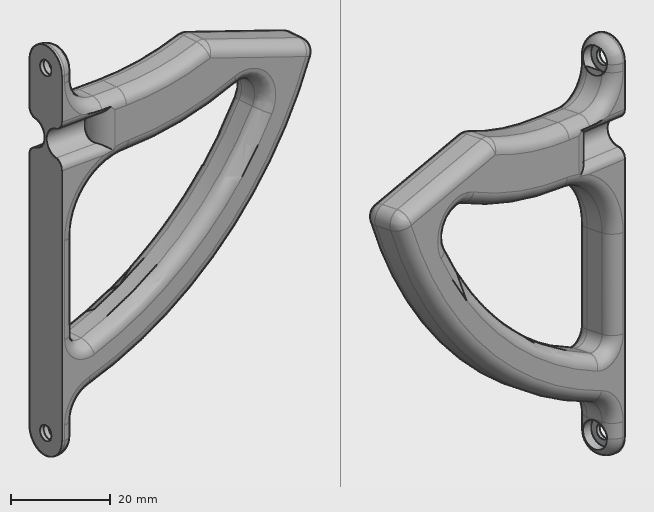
import cadquery as cq
import math

width = 10.0
height = 91.0
plate_thickness = 3.6
edge_radius = 3.0
half_width = width / 2

hole_diameter = 3.5
hole_depth = 1.0
head_diameter = 6.4

arm_center_y = 17.0
arm_center_z = 145.7
arm_top_radius = 68.4
arm_depth = 13.9
peak_y = 39.2

strut_center_y = -17.5
strut_center_z = 101.5
strut_outer_radius = 90.9
strut_depth = 10.0
tip_y = 68.6

corner_allowance = 0.01
outer_corner_radius = edge_radius + corner_allowance
upper_plate_radius = 7.0
lower_plate_radius = 6.0
window_upper_radius = 14.0
window_tip_radius = 5.0
window_lower_radius = 3.0

groove_z = 70.4
groove_web = 0.7
groove_floor_radius = 3.3
groove_mouth_radius = 2.2
groove_end_y = 10.0
groove_end_radius = 4.0

selection_margin = 0.1


def arm_z(y, radius):
    """Height of the arm arc of the given radius at y."""
    return arm_center_z - math.sqrt(radius**2 - (y - arm_center_y) ** 2)


def strut_z(y, radius):
    """Height of the strut arc of the given radius at y."""
    return strut_center_z - math.sqrt(radius**2 - (y - strut_center_y) ** 2)


def arc_points(curve, start_y, end_y, radius):
    """Middle and end point of an arc given as a height function of y."""
    middle_y = (start_y + end_y) / 2
    return (middle_y, curve(middle_y, radius)), (end_y, curve(end_y, radius))


def crossing_y(arm_radius, strut_radius):
    """The y where an arm arc meets a strut arc, on the handle side."""
    dy = strut_center_y - arm_center_y
    dz = strut_center_z - arm_center_z
    distance = math.hypot(dy, dz)
    along = (arm_radius**2 - strut_radius**2 + distance**2) / (2 * distance)
    across = math.sqrt(arm_radius**2 - along**2)
    return arm_center_y + (along * dy - across * dz) / distance


def round_corner(body, y, z, radius):
    """Round the edge along X that passes through (y, z)."""
    return body.edges(cq.selectors.NearestToPointSelector((0, y, z))).fillet(radius)


def extrude_profile(profile):
    """Close a side profile and extrude it over the full width."""
    return profile.close().extrude(half_width, both=True)


def make_body():
    """Solid side profile with rounded corners."""
    arm_foot_z = arm_z(arm_center_y, arm_top_radius)
    strut_foot_z = strut_z(plate_thickness, strut_outer_radius)
    peak_z = arm_z(peak_y, arm_top_radius)
    tip_z = strut_z(tip_y, strut_outer_radius)
    body = extrude_profile(
        cq.Workplane("YZ")
        .lineTo(0, height)
        .lineTo(plate_thickness, height)
        .lineTo(plate_thickness, arm_foot_z)
        .lineTo(arm_center_y, arm_foot_z)
        .threePointArc(*arc_points(arm_z, arm_center_y, peak_y, arm_top_radius))
        .lineTo(tip_y, tip_z)
        .threePointArc(*arc_points(strut_z, tip_y, plate_thickness, strut_outer_radius))
        .lineTo(plate_thickness, 0)
    )
    body = round_corner(body, plate_thickness, arm_foot_z, upper_plate_radius)
    body = round_corner(body, peak_y, peak_z, outer_corner_radius)
    body = round_corner(body, tip_y, tip_z, outer_corner_radius)
    return round_corner(body, plate_thickness, strut_foot_z, lower_plate_radius)


def make_window():
    """Opening between plate, arm and strut, with rounded corners."""
    arm_radius = arm_top_radius + arm_depth
    strut_radius = strut_outer_radius - strut_depth
    far_y = crossing_y(arm_radius, strut_radius)
    upper_z = arm_z(plate_thickness, arm_radius)
    lower_z = strut_z(plate_thickness, strut_radius)
    window = extrude_profile(
        cq.Workplane("YZ")
        .moveTo(plate_thickness, lower_z)
        .lineTo(plate_thickness, upper_z)
        .threePointArc(*arc_points(arm_z, plate_thickness, far_y, arm_radius))
        .threePointArc(*arc_points(strut_z, far_y, plate_thickness, strut_radius))
    )
    window = round_corner(window, plate_thickness, upper_z, window_upper_radius)
    window = round_corner(window, far_y, arm_z(far_y, arm_radius), window_tip_radius)
    return round_corner(window, plate_thickness, lower_z, window_lower_radius)


def make_plate_envelope():
    """Front outline with round ends, deep enough to hold the whole handle."""
    return (
        cq.Workplane("XZ", origin=(0, 0, height / 2))
        .slot2D(height, width, 90)
        .extrude(-height)
    )


def make_screw_hole(z):
    """Cutter for one screw hole with its head recess on the handle side."""
    hole = cq.Workplane("XZ", origin=(0, 0, z)).circle(hole_diameter / 2).extrude(-plate_thickness)
    recess = (
        cq.Workplane("XZ", origin=(0, hole_depth, z))
        .circle(head_diameter / 2)
        .extrude(hole_depth - plate_thickness)
    )
    return hole.union(recess)


def make_groove(side):
    """Cutter for the groove on one side (+1 or -1), open at Y = 0."""
    floor_x = groove_web / 2
    floor_center_x = floor_x + groove_floor_radius
    mouth_center_x = half_width - groove_mouth_radius
    reach = groove_floor_radius + groove_mouth_radius
    shift = floor_center_x - mouth_center_x
    mouth_z = math.sqrt(reach**2 - shift**2)

    blend = groove_floor_radius / reach
    blend_point = (floor_center_x - shift * blend, mouth_z * blend)
    diagonal = groove_mouth_radius * math.sqrt(0.5)
    mouth_middle = (mouth_center_x + diagonal, mouth_z - diagonal)

    def place(point, vertical=1):
        """Mirror a section point to the chosen side and to the upper (+1) or lower (-1) half."""
        return side * point[0], vertical * point[1]

    channel = (
        cq.Workplane("XZ", origin=(0, 0, groove_z))
        .moveTo(*place((width, mouth_z)))
        .lineTo(*place((half_width, mouth_z)))
        .threePointArc(place(mouth_middle), place(blend_point))
        .threePointArc(place((floor_x, 0)), place(blend_point, -1))
        .threePointArc(place(mouth_middle, -1), place((half_width, mouth_z), -1))
        .lineTo(*place((width, mouth_z), -1))
        .close()
        .extrude(-height)
    )

    flare_x = half_width - groove_end_radius
    flare_y = groove_end_y + groove_end_radius
    end_diagonal = groove_end_radius * math.sqrt(0.5)
    flare_middle = (side * (flare_x + end_diagonal), flare_y - end_diagonal)
    end_limit = (
        cq.Workplane("XY")
        .lineTo(0, groove_end_y)
        .lineTo(side * flare_x, groove_end_y)
        .threePointArc(flare_middle, (side * half_width, flare_y))
        .lineTo(side * width, flare_y)
        .lineTo(side * width, 0)
        .close()
        .extrude(height)
    )
    return channel.intersect(end_limit)


def round_rims(body):
    """Round every outline edge except those on the flat mounting face at Y = 0."""
    side_rims = body.faces("<X or >X").edges("not |Y")
    plate_end_rims = body.edges("%CIRCLE").edges(
        cq.selectors.BoxSelector(
            (-half_width, plate_thickness - selection_margin, -selection_margin),
            (half_width, plate_thickness + selection_margin, height + selection_margin),
        )
    )
    rims = side_rims.add(plate_end_rims).edges("not(<Y)")
    return body.newObject(rims.vals()).fillet(edge_radius)


result = make_body().cut(make_window()).intersect(make_plate_envelope())
result = round_rims(result)

for hole_z in (half_width, height - half_width):
    result = result.cut(make_screw_hole(hole_z))

for groove_side in (-1, 1):
    result = result.cut(make_groove(groove_side))